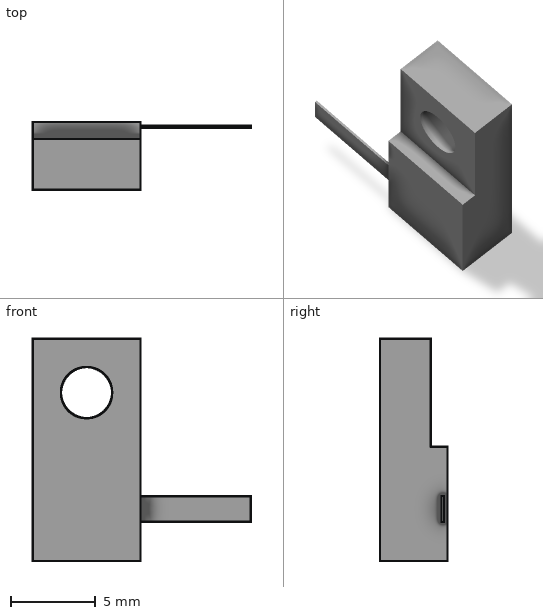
import cadquery as cq

height = 13.1
width = 6.35
depth = 4.0
upper_depth = 3.0
upper_height = width
step_height = height - upper_height

hole_diameter = 3.0
hole_x = width / 2
hole_z = height - upper_height / 2

overall_length = 12.85
lead_length = overall_length - width
lead_height = 1.52
lead_thickness = 0.15
lead_bottom = 2.32
lead_back_gap = 0.21
lead_front = depth - lead_back_gap - lead_thickness


def make_body():
    lower = cq.Workplane("XY").box(width, depth, step_height, centered=False)
    upper = (
        cq.Workplane("XY", origin=(0, 0, step_height))
        .box(width, upper_depth, upper_height, centered=False)
    )
    return lower.union(upper)


def make_hole():
    return (
        cq.Workplane("XZ")
        .center(hole_x, hole_z)
        .circle(hole_diameter / 2)
        .extrude(-upper_depth)
    )


def make_lead():
    return (
        cq.Workplane("XY", origin=(width, lead_front, lead_bottom))
        .box(lead_length, lead_thickness, lead_height, centered=False)
    )


result = make_body().cut(make_hole()).union(make_lead())